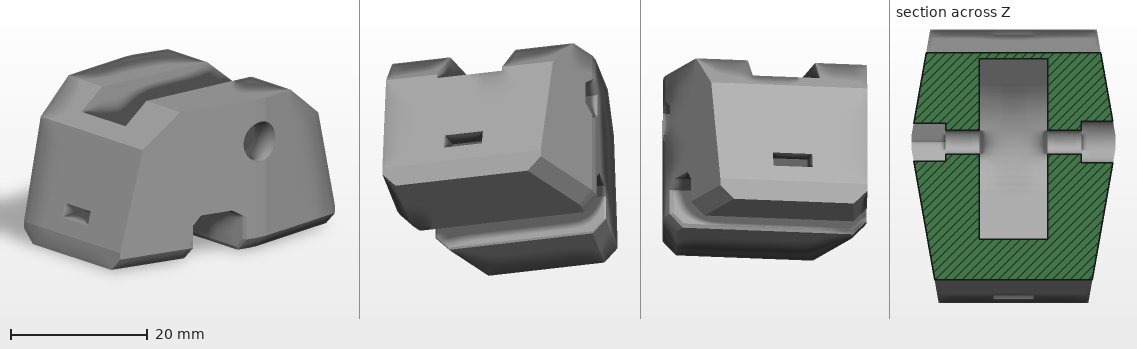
import cadquery as cq
import math

length = 40.0
height = 23.0
half_length = length / 2
top_half_length = 10.0
shoulder_half_length = 16.25
shoulder_height = 18.1
foot_height = 3.0

width = 29.9
half_width = width / 2
side_taper = 10.0
axle_y = 3.5
axle_z = 16.5
ridge_half_length = 0.85
bottom_bevel = 2.0

slot_width = 10.0
wheel_radius = 10.0
front_ramp_angle = 45.0
back_ramp_angle = 55.0
ramp_length = 24.0

axle_diameter = 3.4
nut_across_flats = 5.5
hexagon_sides = 6
bolt_head_diameter = 6.0
fastener_pocket_depth = 5.0

notch_back = 0.7
notch_front = -7.7
notch_wall_height = 5.5
notch_height = 6.75
notch_roof_back = -1.35
notch_roof_front = -6.55

back_bevel_inset = 0.55
back_bevel_run = 0.3
front_bevel_inset = 0.3
front_bevel_run = 0.15

window_width = 5.85
window_bottom = 5.3
window_height = 2.1
window_depth = 5.0


def side_half_width(y, inset=0.0):
    """Half width of the plan at y on a tapered flank, moved in by inset square to the flank."""
    taper = math.radians(side_taper)
    run = abs(y - axle_y) - ridge_half_length
    return half_width - run * math.tan(taper) - inset / math.cos(taper)


def plan_points(inset=0.0):
    """Plan outline with its flanks and ridge moved in by inset."""
    ridge = ridge_half_length - inset * math.tan(math.radians(side_taper / 2))
    right = [
        (side_half_width(-half_length, inset), -half_length),
        (half_width - inset, axle_y - ridge),
        (half_width - inset, axle_y + ridge),
        (side_half_width(half_length, inset), half_length),
    ]
    left = [(-x, y) for x, y in reversed(right)]
    return right + left


def plan_prism():
    """Upright block with beveled bottom edges along both sides."""
    upper = (
        cq.Workplane("XY").workplane(offset=bottom_bevel)
        .polyline(plan_points()).close().extrude(height - bottom_bevel)
    )
    lower = (
        cq.Workplane("XY").polyline(plan_points(bottom_bevel)).close()
        .workplane(offset=bottom_bevel).polyline(plan_points()).close().loft(ruled=True)
    )
    return upper.union(lower)


def extrude_across(points):
    """Extrude a (y, z) outline along X over the full width of the part."""
    return cq.Workplane("YZ").polyline(points).close().extrude(half_width, both=True)


def body():
    """Side profile symmetric front to back, trimmed by the tapered plan."""
    front_to_top = [
        (-half_length, 0),
        (-half_length, foot_height),
        (-shoulder_half_length, shoulder_height),
        (-top_half_length, height),
    ]
    top_to_back = [(-y, z) for y, z in reversed(front_to_top)]
    return plan_prism().intersect(extrude_across(front_to_top + top_to_back))


def wheel_slot():
    """Open-topped slot whose floor is an arc about the axle with a tangent ramp at each end."""
    front = math.radians(front_ramp_angle)
    back = math.radians(back_ramp_angle)
    front_tangent = (axle_y - wheel_radius * math.sin(front), axle_z - wheel_radius * math.cos(front))
    back_tangent = (axle_y + wheel_radius * math.sin(back), axle_z - wheel_radius * math.cos(back))
    front_end = (
        front_tangent[0] - ramp_length * math.cos(front),
        front_tangent[1] + ramp_length * math.sin(front),
    )
    back_end = (
        back_tangent[0] + ramp_length * math.cos(back),
        back_tangent[1] + ramp_length * math.sin(back),
    )
    return (
        cq.Workplane("YZ").moveTo(*front_end).lineTo(*front_tangent)
        .threePointArc((axle_y, axle_z - wheel_radius), back_tangent)
        .lineTo(*back_end).close().extrude(slot_width / 2, both=True)
    )


def axle_bore():
    """Through hole with a hexagonal pocket on one side and a round one on the other."""
    hole = (
        cq.Workplane("YZ").center(axle_y, axle_z)
        .circle(axle_diameter / 2).extrude(half_width, both=True)
    )
    corner_diameter = nut_across_flats / math.cos(math.pi / hexagon_sides)
    nut_pocket = (
        cq.Workplane("YZ", origin=(-half_width, axle_y, axle_z))
        .transformed(rotate=(0, 0, 90))
        .polygon(hexagon_sides, corner_diameter).extrude(fastener_pocket_depth)
    )
    bolt_head_pocket = (
        cq.Workplane("YZ", origin=(half_width, axle_y, axle_z))
        .circle(bolt_head_diameter / 2).extrude(-fastener_pocket_depth)
    )
    return hole.union(nut_pocket).union(bolt_head_pocket)


def bottom_notch():
    """Channel through the full width with chamfered upper corners."""
    outline = [
        (notch_front, 0),
        (notch_front, notch_wall_height),
        (notch_roof_front, notch_height),
        (notch_roof_back, notch_height),
        (notch_back, notch_wall_height),
        (notch_back, 0),
    ]
    return extrude_across(outline)


def section_points(y, inset=0.0):
    """Outline of the body at y up to the notch wall height, moved in by inset."""
    side = side_half_width(y) - inset
    foot = side_half_width(y, bottom_bevel)
    right = [(foot, inset), (side, bottom_bevel), (side, notch_wall_height)]
    left = [(-x, z) for x, z in reversed(right)]
    return right + left


def notch_wall_bevel(wall_y, direction, inset, run):
    """Material outside a tapered plug that starts at the wall and runs along direction * Y."""
    outer_y = wall_y + direction * run
    plug = (
        cq.Workplane("XZ", origin=(0, wall_y, 0)).polyline(section_points(wall_y, inset)).close()
        .workplane(offset=-direction * run).polyline(section_points(outer_y)).close().loft(ruled=True)
    )
    slab = cq.Workplane("XY").box(
        width, run, notch_wall_height, centered=(True, True, False)
    ).translate((0, (wall_y + outer_y) / 2, 0))
    return slab.cut(plug)


def end_window(end):
    """Blind window in the sloped face at end = -1 (front) or +1 (back)."""
    return cq.Workplane("XY").box(
        window_width, window_depth, window_height, centered=(True, True, False)
    ).translate((0, end * (half_length - window_depth / 2), window_bottom))


result = body().cut(wheel_slot()).cut(axle_bore()).cut(bottom_notch())
result = result.cut(notch_wall_bevel(notch_back, 1, back_bevel_inset, back_bevel_run))
result = result.cut(notch_wall_bevel(notch_front, -1, front_bevel_inset, front_bevel_run))
for end in (-1, 1):
    result = result.cut(end_window(end))